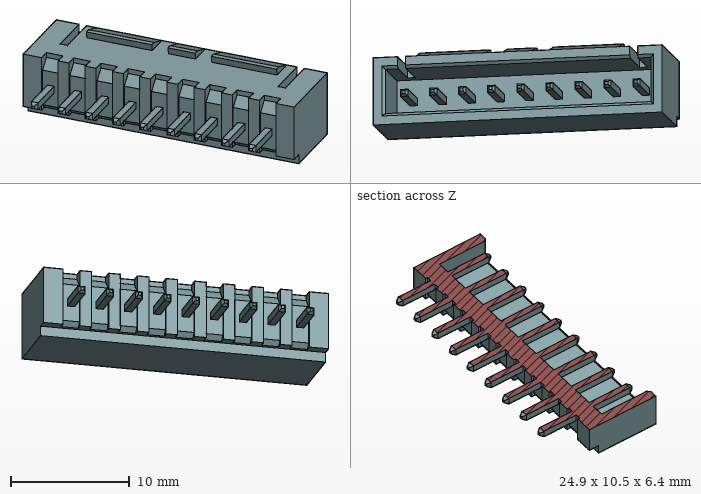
import cadquery as cq


LENGTH = 24.9
DEPTH = 7.0
HEIGHT = 5.8
STEP_DEPTH = 0.97
STEP_HEIGHT = 0.85

WALL = 1.0
CAVITY_DEPTH = 4.98
LEAD_IN = 0.25

PIN_COUNT = 9
END_MARGIN = 2.45
PITCH = (LENGTH - 2 * END_MARGIN) / (PIN_COUNT - 1)
PIN_SIZE = 0.62
PIN_Z = HEIGHT / 2
PIN_REACH = 3.5
PIN_INSET = 0.8
TIP_LENGTH = 0.35
TIP_SIZE = 0.25
PIN_XS = [END_MARGIN - LENGTH / 2 + i * PITCH for i in range(PIN_COUNT)]

GROOVE_WIDTH = 1.5
GROOVE_DEPTH = 0.2
UPPER_LAND = 0.45
UPPER_BEVEL = 0.82
LOWER_BEVEL = 0.42

SLOT_WIDTH = 0.67
SLOT_LENGTH = 4.0

OVERALL_HEIGHT = 6.4
LATCH_HEIGHT = OVERALL_HEIGHT - HEIGHT
LATCH_RAMP = 1.7
LATCH_TOP_END = 2.17
LATCH_BASE_END = 2.07
MID_LATCH_LENGTH = 2.5
SIDE_LATCH_LENGTH = 6.0
LATCH_GAP = 1.5


def extrude_along_x(yz_points, center_x, width):
    """Close a YZ outline and extrude it along X, centered on center_x."""
    sketch = cq.Workplane("YZ", origin=(center_x, 0, 0)).polyline(yz_points).close()
    return sketch.extrude(width / 2, both=True)


def make_housing():
    outline = [
        (0, 0),
        (STEP_DEPTH - DEPTH, 0),
        (STEP_DEPTH - DEPTH, STEP_HEIGHT),
        (-DEPTH, STEP_HEIGHT),
        (-DEPTH, HEIGHT),
        (0, HEIGHT),
    ]
    return extrude_along_x(outline, 0, LENGTH)


def make_cavity():
    mouth_length = LENGTH - 2 * WALL
    mouth_height = HEIGHT - 2 * WALL
    mouth = cq.Workplane("XZ", origin=(0, 0, HEIGHT / 2))
    pocket = mouth.rect(mouth_length, mouth_height).extrude(CAVITY_DEPTH)
    lead_in = (
        mouth.rect(mouth_length + 2 * LEAD_IN, mouth_height + 2 * LEAD_IN)
        .workplane(offset=LEAD_IN)
        .rect(mouth_length, mouth_height)
        .loft(ruled=True)
    )
    return pocket.union(lead_in)


def make_groove(x):
    wall_y = GROOVE_DEPTH - DEPTH
    bevel_top = HEIGHT - UPPER_LAND
    outline = [
        (-DEPTH, HEIGHT),
        (wall_y + UPPER_BEVEL, HEIGHT),
        (wall_y + UPPER_BEVEL, bevel_top),
        (wall_y, bevel_top - UPPER_BEVEL),
        (wall_y, STEP_HEIGHT + LOWER_BEVEL),
        (wall_y + LOWER_BEVEL, STEP_HEIGHT),
        (-DEPTH, STEP_HEIGHT),
    ]
    return extrude_along_x(outline, x, GROOVE_WIDTH)


def make_slot(x):
    slot = cq.Workplane("XY", origin=(x, -SLOT_LENGTH / 2, HEIGHT - WALL - LEAD_IN))
    return slot.rect(SLOT_WIDTH, SLOT_LENGTH).extrude(WALL + LEAD_IN)


def make_latch(x, length):
    top = HEIGHT + LATCH_HEIGHT
    outline = [
        (0, HEIGHT),
        (-LATCH_RAMP, top),
        (-LATCH_TOP_END, top),
        (-LATCH_BASE_END, HEIGHT),
    ]
    return extrude_along_x(outline, x, length)


def make_pin(x):
    """Square pin with a tapered tip at both ends."""
    shank_length = DEPTH + PIN_REACH - PIN_INSET - 2 * TIP_LENGTH
    start = cq.Workplane("XZ", origin=(x, -PIN_INSET - TIP_LENGTH, PIN_Z))
    shank = start.rect(PIN_SIZE, PIN_SIZE).extrude(shank_length)
    pin = shank
    for face in (">Y", "<Y"):
        tip = (
            shank.faces(face).workplane(centerOption="CenterOfMass")
            .rect(PIN_SIZE, PIN_SIZE)
            .workplane(offset=TIP_LENGTH)
            .rect(TIP_SIZE, TIP_SIZE)
            .loft(ruled=True, combine=False)
        )
        pin = pin.union(tip)
    return pin


result = make_housing().cut(make_cavity())

for pin_x in PIN_XS:
    result = result.cut(make_groove(pin_x))

for end_x in (PIN_XS[0], PIN_XS[-1]):
    result = result.cut(make_slot(end_x))

side_latch_x = (MID_LATCH_LENGTH + SIDE_LATCH_LENGTH) / 2 + LATCH_GAP
result = result.union(make_latch(0, MID_LATCH_LENGTH))
for side in (-1, 1):
    result = result.union(make_latch(side * side_latch_x, SIDE_LATCH_LENGTH))

for pin_x in PIN_XS:
    result = result.union(make_pin(pin_x))